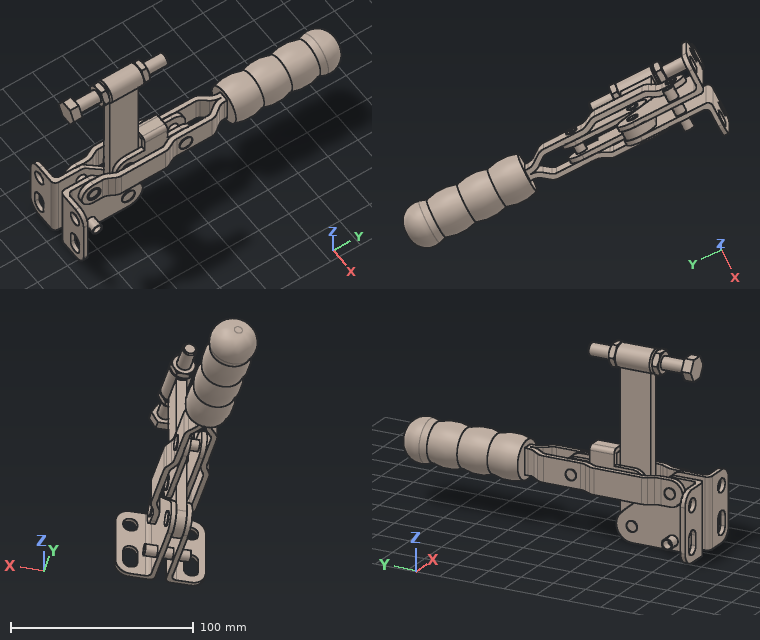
import cadquery as cq
import math


gap_half = 3.0
sheet = 3.0
plate_outer = gap_half + sheet
lever_sheet = 3.3

front_pivot_y = 18.0
arm_pivot_y = 43.3
rear_pivot_y = 79.5
upper_pivot_z = 34.8
lower_pivot_z = 9.9
pin_diameter = 6.5
pin_head_diameter = 8.5
pin_head_height = 0.5

base_half_width = 25.5
base_height = 43.2
base_slope = math.radians(41)
plate_top_radius = 5.4
bend_outer_radius = 3.0
bend_inner_radius = 2.8
flange_corner_radius = 8.0
mount_hole_x = 17.1
mount_hole_diameter = 8.2
mount_hole_z = 33.9
slot_z = 11.9
slot_length = 14.3
tube_outer_diameter = 6.5
tube_inner_diameter = 5.4
tube_z = 6.0
tube_half_length = 12.8

lever_height = 15.8
lever_outer = plate_outer + lever_sheet
bend_radius = 7.3
belly_rise = 3.5
belly_angle = math.radians(28)
belly_front_y = 23.8
belly_rear_y = 73.7
tail_angle = math.radians(37)
tail_front_y = 96.7

grip_front_y = 111.5
grip_tip_y = 186.0
grip_bulge_length = 18.8
grip_bulges = 3
grip_neck_radius = 11.7
grip_bulge_radius = 13.4
dome_edge_y = 172.0
dome_arc_radius = 11.2

arm_centre_y = 42.8
arm_width = 19.0
screw_z = 107.0
sleeve_radius = 7.0
sleeve_front_y = 32.0
sleeve_rear_y = 53.5
link_end_radius = base_height - upper_pivot_z
saddle_front_y = 54.5
saddle_rear_y = 69.8
saddle_top_z = 52.8
saddle_bend_radius = 2.8
screw_diameter = 8.0
screw_tip_y = 72.0
screw_tip_chamfer = 0.7
head_front_y = 6.1
head_thickness = 5.8
hex_flats = 13.0
hex_corners = hex_flats / math.cos(math.pi / 6)
nut_thickness = 4.0
front_nut_y = 26.6


def cylinder_x(y, z, diameter, x_start, x_end):
    """Cylinder along X."""
    plane = cq.Workplane("YZ", origin=(x_start, y, z))
    return plane.circle(diameter / 2).extrude(x_end - x_start)


def cylinder_y(z, diameter, y_start, y_end):
    """Cylinder along Y on the centre plane."""
    plane = cq.Workplane("XZ", origin=(0, y_start, z))
    return plane.circle(diameter / 2).extrude(y_start - y_end)


def hexagon_y(z, y_start, y_end):
    """Hexagonal prism along Y, with two corners pointing along X."""
    plane = cq.Workplane("XZ", origin=(0, y_start, z))
    return plane.polygon(6, hex_corners).extrude(y_start - y_end)


def pivot_pin(y, z, outer_face):
    """Rivet through the sheets up to outer_face, with its wider head on the +X side."""
    end = outer_face + pin_head_height
    shank = cylinder_x(y, z, pin_diameter, -end, end)
    return shank.union(cylinder_x(y, z, pin_head_diameter, outer_face, end))


def pivot_hole(y, z):
    """Cutter for a hole that fits a pin shank, through every sheet."""
    return cylinder_x(y, z, pin_diameter, -base_half_width, base_half_width)


def base_half():
    """Right-hand angle plate: an upright plate bent out into a drilled flange."""
    rear_radius = lower_pivot_z
    rear_corner_y = arm_pivot_y + rear_radius / math.tan(base_slope / 2)
    top_corner_y = rear_corner_y - base_height / math.tan(base_slope)
    plate = (
        cq.Workplane("YZ", origin=(gap_half, 0, 0))
        .polyline([(0, 0), (rear_corner_y, 0), (top_corner_y, base_height), (0, base_height)])
        .close()
        .extrude(sheet)
    )
    plate = plate.edges("|X").edges(">Y").fillet(rear_radius)
    top_corner = cq.NearestToPointSelector((plate_outer, top_corner_y, base_height))
    plate = plate.edges("|X").edges(top_corner).fillet(plate_top_radius)

    flange = (
        cq.Workplane("XY")
        .box(base_half_width - gap_half, sheet, base_height, centered=False)
        .translate((gap_half, 0, 0))
        .edges("|Y and >X")
        .fillet(flange_corner_radius)
    )
    half = plate.union(flange)
    inner_corner = cq.NearestToPointSelector((plate_outer, sheet, base_height / 2))
    half = half.edges("|Z").edges(inner_corner).fillet(bend_inner_radius)
    outer_corner = cq.NearestToPointSelector((gap_half, 0, base_height / 2))
    half = half.edges("|Z").edges(outer_corner).fillet(bend_outer_radius)

    hole = cq.Workplane("XZ").center(mount_hole_x, mount_hole_z).circle(mount_hole_diameter / 2)
    slot = cq.Workplane("XZ").center(mount_hole_x, slot_z).slot2D(slot_length, mount_hole_diameter, 90)
    return half.cut(hole.extrude(-sheet)).cut(slot.extrude(-sheet))


def make_base():
    """Two mirrored angle plates joined by their pivot pins and an open cross tube."""
    half = base_half()
    base = half.union(half.mirror("YZ"))
    base = base.union(pivot_pin(front_pivot_y, upper_pivot_z, lever_outer))
    base = base.union(pivot_pin(arm_pivot_y, lower_pivot_z, plate_outer))
    base = base.union(
        cylinder_x(front_pivot_y, tube_z, tube_outer_diameter, -tube_half_length, tube_half_length)
    )
    return base.cut(
        cylinder_x(front_pivot_y, tube_z, tube_inner_diameter, -tube_half_length, tube_half_length)
    )


def bend_run(rise, angle):
    """Length along Y of an S-bend that steps sideways by rise."""
    slope_rise = rise - 2 * bend_radius * (1 - math.cos(angle))
    return 2 * bend_radius * math.sin(angle) + slope_rise / math.tan(angle)


def arc_points(centre_y, centre_x, radius, angle):
    """Middle and end of an arc that starts level with its centre and turns towards +Y.

    A negative radius starts it on the -X side of the centre.
    """
    return [
        (centre_x + radius * math.cos(turn), centre_y + abs(radius) * math.sin(turn))
        for turn in (angle / 2, angle)
    ]


def s_bend(outline, y, x, rise, angle, inset):
    """Add an S-bend towards +Y, starting at y where the outer face is at x.

    A positive rise steps outwards. The drawn face lies inset from the outer face.
    """
    side = math.copysign(1, rise)
    end_y = y + bend_run(abs(rise), angle)
    first_radius = -side * (bend_radius + side * inset)
    last_radius = side * (bend_radius - side * inset)
    first_mid, first_end = arc_points(y, x + side * bend_radius, first_radius, angle)
    last_centre = x + rise - side * bend_radius
    last_mid, last_start = [
        (arc_x, 2 * end_y - arc_y)
        for arc_x, arc_y in arc_points(end_y, last_centre, last_radius, angle)
    ]
    return (
        outline.lineTo(x - inset, y)
        .threePointArc(first_mid, first_end)
        .lineTo(*last_start)
        .threePointArc(last_mid, (x + rise - inset, end_y))
    )


def lever_outline(inset):
    """Region between the centre plane and a lever strip's face, inset from its outer face."""
    belly_outer = lever_outer + belly_rise
    start_y = front_pivot_y - lever_height / 2
    tail_drop = plate_outer
    outline = cq.Workplane("XY").moveTo(0, start_y).lineTo(lever_outer - inset, start_y)
    outline = s_bend(outline, belly_front_y, lever_outer, belly_rise, belly_angle, inset)
    narrowing_y = belly_rear_y - bend_run(belly_rise, belly_angle)
    outline = s_bend(outline, narrowing_y, belly_outer, -belly_rise, belly_angle, inset)
    outline = s_bend(outline, tail_front_y, lever_outer, -tail_drop, tail_angle, inset)
    if inset < lever_sheet:
        outline = outline.lineTo(lever_sheet - inset, grip_front_y).lineTo(0, grip_front_y)
    return outline.close().extrude(lever_height)


def make_lever():
    """Two bent strips that join at the grip, with the link's pin between them."""
    strip = lever_outline(0).cut(lever_outline(lever_sheet))
    lever = strip.union(strip.mirror("YZ")).translate((0, 0, upper_pivot_z - lever_height / 2))

    end_radius = lever_height / 2
    straight = grip_front_y - front_pivot_y
    side_shape = (
        cq.Workplane("YZ", origin=(-base_half_width, front_pivot_y, upper_pivot_z))
        .moveTo(0, -end_radius)
        .lineTo(straight, -end_radius)
        .lineTo(straight, end_radius)
        .lineTo(0, end_radius)
        .threePointArc((-end_radius, 0), (0, -end_radius))
        .close()
        .extrude(2 * base_half_width)
    )
    lever = lever.intersect(side_shape)
    lever = lever.cut(pivot_hole(front_pivot_y, upper_pivot_z))
    return lever.union(pivot_pin(rear_pivot_y, upper_pivot_z, lever_outer))


def make_grip():
    """Round grip with three bulges and a domed tip, set against the lever's end."""
    profile = cq.Workplane("XY").moveTo(0, grip_front_y).lineTo(grip_neck_radius, grip_front_y)
    for bulge in range(grip_bulges):
        start_y = grip_front_y + bulge * grip_bulge_length
        profile = profile.threePointArc(
            (grip_bulge_radius, start_y + grip_bulge_length / 2),
            (grip_neck_radius, start_y + grip_bulge_length),
        )
    dome_centre_x = grip_bulge_radius - dome_arc_radius
    dome_centre_y = grip_tip_y - dome_arc_radius
    dome_edge_x = dome_centre_x + math.sqrt(dome_arc_radius**2 - (dome_edge_y - dome_centre_y) ** 2)
    diagonal = dome_arc_radius * math.sqrt(0.5)
    profile = (
        profile.lineTo(dome_edge_x, dome_edge_y)
        .threePointArc(
            (dome_centre_x + diagonal, dome_centre_y + diagonal), (dome_centre_x, grip_tip_y)
        )
        .lineTo(0, grip_tip_y)
        .close()
    )
    return profile.revolve(360, (0, 0, 0), (0, 1, 0)).translate((0, 0, upper_pivot_z))


def make_arm():
    """Flat bar rounded about its pivot, with the screw's sleeve across its top."""
    half_width = arm_width / 2
    bar = (
        cq.Workplane("YZ", origin=(-gap_half, arm_centre_y, 0))
        .moveTo(-half_width, screw_z)
        .lineTo(-half_width, lower_pivot_z)
        .threePointArc((0, lower_pivot_z - half_width), (half_width, lower_pivot_z))
        .lineTo(half_width, screw_z)
        .close()
        .extrude(2 * gap_half)
    )
    arm = bar.union(cylinder_y(screw_z, 2 * sleeve_radius, sleeve_front_y, sleeve_rear_y))
    arm = arm.cut(cylinder_y(screw_z, screw_diameter, sleeve_front_y, sleeve_rear_y))
    for pivot_z in (lower_pivot_z, upper_pivot_z):
        arm = arm.cut(pivot_hole(arm_pivot_y, pivot_z))
    return arm


def make_link():
    """Two round-ended plates joined by a bent saddle, with the arm's pin between them."""
    span = rear_pivot_y - arm_pivot_y
    plates = (
        cq.Workplane("YZ", origin=(-plate_outer, arm_pivot_y + span / 2, upper_pivot_z))
        .slot2D(span + 2 * link_end_radius, 2 * link_end_radius)
        .extrude(2 * plate_outer)
    )
    saddle = (
        cq.Workplane("XY", origin=(-plate_outer, saddle_front_y, upper_pivot_z))
        .box(2 * plate_outer, saddle_rear_y - saddle_front_y, saddle_top_z - upper_pivot_z, centered=False)
        .edges("|Y and >Z")
        .fillet(saddle_bend_radius)
    )
    gap_bottom_z = upper_pivot_z - link_end_radius
    gap = (
        cq.Workplane("XY", origin=(-gap_half, arm_pivot_y - link_end_radius, gap_bottom_z))
        .box(2 * gap_half, span + 2 * link_end_radius, saddle_top_z - sheet - gap_bottom_z, centered=False)
    )
    link = plates.union(saddle).cut(gap)
    link = link.cut(pivot_hole(rear_pivot_y, upper_pivot_z))
    return link.union(pivot_pin(arm_pivot_y, upper_pivot_z, plate_outer))


def make_screw():
    """Hexagon-head screw with a chamfered tip."""
    head_rear_y = head_front_y + head_thickness
    shank = cylinder_y(screw_z, screw_diameter, head_rear_y, screw_tip_y)
    shank = shank.faces(">Y").chamfer(screw_tip_chamfer)
    return shank.union(hexagon_y(screw_z, head_front_y, head_rear_y))


def make_nut(front_y):
    """Hexagon nut with its corners chamfered at 30 degrees on both faces."""
    rear_y = front_y + nut_thickness
    corner_depth = (hex_corners - hex_flats) / 2
    envelope = cylinder_y(screw_z, hex_corners, front_y, rear_y)
    envelope = envelope.faces("<Y or >Y").chamfer(corner_depth * math.tan(math.pi / 6), corner_depth)
    nut = hexagon_y(screw_z, front_y, rear_y).intersect(envelope)
    return nut.cut(cylinder_y(screw_z, screw_diameter, front_y, rear_y))


base = make_base()
lever = make_lever()
grip = make_grip()
arm = make_arm()
link = make_link()
screw = make_screw()
nuts = [make_nut(front_y) for front_y in (front_nut_y, sleeve_rear_y)]

result = cq.Compound.makeCompound(
    [body.val() for body in (base, lever, grip, arm, link, screw, *nuts)]
)